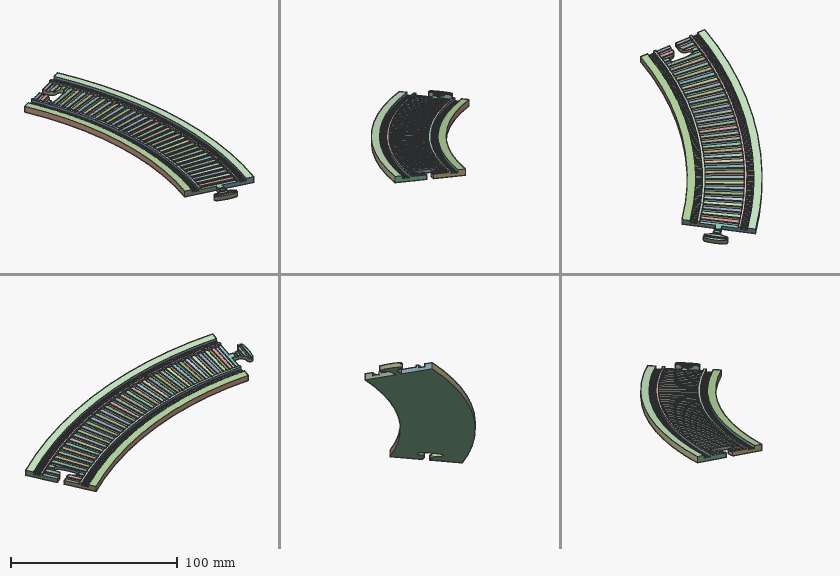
import cadquery as cq
import math

sweep = 41.2
outer_radius = 244.0
track_width = 45.0
thickness = 4.0
inner_radius = outer_radius - track_width

border_width = 5.0
wheel_groove_width = 4.2
rail_width = 1.6
wheel_groove_depth = 1.8
tie_bed_depth = 1.1
tie_bed_margin = border_width + wheel_groove_width + rail_width
tie_bed_inner = inner_radius + tie_bed_margin
tie_bed_outer = outer_radius - tie_bed_margin
tie_bed_top = thickness - tie_bed_depth
wheel_groove_floor = thickness - wheel_groove_depth

tie_gap_count = 35
tie_gap_width = 2.1
tie_gap_depth = 0.8
tie_gap_rail_notch = 0.2
tie_gap_inset = 0.8

flute_count = 110
flute_radius = 0.5
flute_inset = 0.29

neck_half_width = 2.0
neck_length = 4.2
neck_flare_radius = 4.0
head_half_width = 7.5
head_widest_x = 10.0
head_corner_x = 11.7
head_corner_half_width = 6.5
coupling_length = 12.4
coupling_root = 0.8
coupling_clearance = 0.24

tab_gap_count = 3
tab_gap_first = 3.5
tab_gap_pitch = 3.2
tab_gap_width = 1.5


def along_track(shape, angle):
    """Turn a shape from the left end to the given angle along the arc."""
    return shape.rotate((0, -outer_radius, 0), (0, -outer_radius, 1), -angle)


def angles(count, inset):
    """Evenly spaced angles with the same inset at both ends of the track."""
    step = (sweep - 2 * inset) / (count - 1)
    return [inset + index * step for index in range(count)]


def ring(radius_near, radius_far, bottom, top):
    """Arc of rectangular section that follows the whole track."""
    return (
        cq.Workplane("YZ")
        .moveTo(radius_near - outer_radius, bottom)
        .lineTo(radius_far - outer_radius, bottom)
        .lineTo(radius_far - outer_radius, top)
        .lineTo(radius_near - outer_radius, top)
        .close()
        .revolve(sweep, (-outer_radius, 0, 0), (-outer_radius, -1, 0))
    )


def coupling_outline():
    """Mushroom-shaped outline pointing along +X from the left end face."""
    flare_x = neck_length + neck_flare_radius
    flare_y = neck_half_width + neck_flare_radius
    bend = neck_flare_radius * math.sqrt(0.5)
    bend_point = (neck_length + bend, flare_y - bend)
    return (
        cq.Workplane("XY")
        .moveTo(-coupling_root, -neck_half_width)
        .lineTo(neck_length, -neck_half_width)
        .threePointArc((bend_point[0], -bend_point[1]), (flare_x, -flare_y))
        .threePointArc((head_widest_x, -head_half_width), (head_corner_x, -head_corner_half_width))
        .threePointArc((coupling_length, 0), (head_corner_x, head_corner_half_width))
        .threePointArc((head_widest_x, head_half_width), (flare_x, flare_y))
        .threePointArc(bend_point, (neck_length, neck_half_width))
        .lineTo(-coupling_root, neck_half_width)
        .close()
    )


def confined_copies(cutter, count, inset, region):
    """Repeat a cutter along the track, keeping only what lies inside the region."""
    copies = [along_track(cutter, angle) for angle in angles(count, inset)]
    return region.intersect(cq.Workplane(cq.Compound.makeCompound(copies)))


track = ring(inner_radius, outer_radius, 0, thickness)
track = track.cut(ring(tie_bed_inner, tie_bed_outer, tie_bed_top, thickness))

tie_gap_floor = tie_bed_top - tie_gap_depth
tie_gap = cq.Solid.makeBox(
    tie_gap_width,
    track_width,
    thickness - tie_gap_floor,
    cq.Vector(-tie_gap_width / 2, -track_width, tie_gap_floor),
)
tie_gap_region = ring(
    tie_bed_inner, tie_bed_outer + tie_gap_rail_notch, tie_gap_floor, thickness
)
track = track.cut(confined_copies(tie_gap, tie_gap_count, tie_gap_inset, tie_gap_region))

flute = cq.Solid.makeCylinder(
    flute_radius,
    track_width,
    cq.Vector(0, -track_width, wheel_groove_floor),
    cq.Vector(0, 1, 0),
)
inner_groove_start = inner_radius + border_width
outer_groove_start = outer_radius - border_width - wheel_groove_width
for groove_start in (inner_groove_start, outer_groove_start):
    groove_end = groove_start + wheel_groove_width
    track = track.cut(ring(groove_start, groove_end, wheel_groove_floor, thickness))
    flute_region = ring(
        groove_start, groove_end, wheel_groove_floor - flute_radius, wheel_groove_floor
    )
    track = track.cut(confined_copies(flute, flute_count, flute_inset, flute_region))

mid_y = -track_width / 2
socket = coupling_outline().offset2D(coupling_clearance).extrude(thickness)
track = track.cut(socket.translate((0, mid_y, 0)))

tab = coupling_outline().extrude(tie_bed_top)
for index in range(tab_gap_count):
    tab_gap = cq.Workplane("XY").box(tab_gap_width, 4 * head_half_width, 2 * tie_gap_depth)
    gap_x = tab_gap_first + index * tab_gap_pitch
    tab = tab.cut(tab_gap.translate((gap_x, 0, tie_bed_top)))
tab = along_track(tab.translate((0, mid_y, 0)), sweep)

result = track.union(tab)